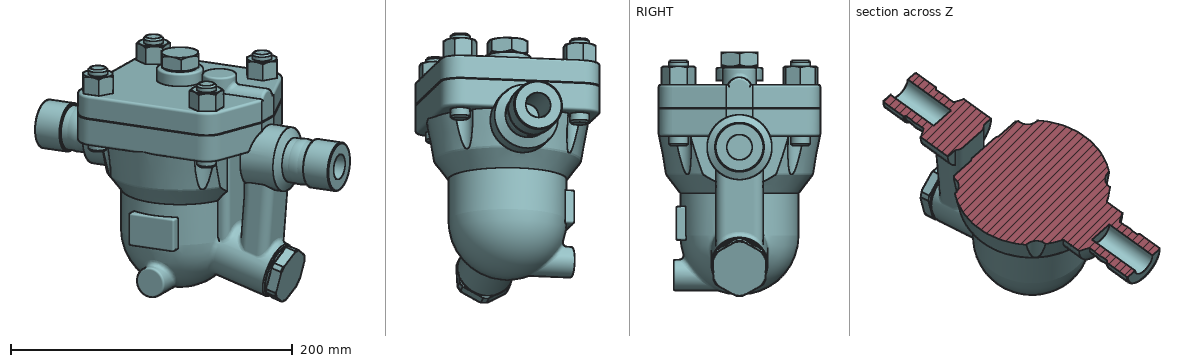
import cadquery as cq
import math


flange_half = 57.5
bolt_offset = 43.25
flange_nose_x = 70.0
flange_nose_half_width = 9.5
flange_bottom = 7.7
joint_z = 27.3
gasket_thickness = 0.6
gasket_inset = 0.3
cover_top = 44.4
flange_edge_fillet = 2.0

stud_dia = 14.0
stud_bottom = 1.0
stud_chamfer = 1.5
nut_flats = 21.0
nut_height = 13.0
stud_projection = 4.4
stud_clearance_dia = 18.0

bowl_radius = 42.0
bowl_center_z = -62.6
throat_z = -32.7
shoulder_z = -19.3
shoulder_radius = 52.2
shoulder_fillet = 3.0
flare_top_radius = 57.5
flare_top_z = flange_bottom + flange_edge_fillet
flare_flat_x = 45.3

inlet_x = -107.0
outlet_x = 127.0
port_bore = 18.0
port_pipe_dia = 35.0
port_pipe_length = 20.5
port_pipe_chamfer = 0.7
port_neck_dia = 32.0
port_bead_dia = 33.0
port_bead_start = 25.4
port_bead_end = 32.6
port_neck_end = 37.6
port_hub_dia = 46.0
port_hub_start = 41.2
outlet_hub_inner_x = 59.6

strainer_angle = 15.0
strainer_dia = 40.0
strainer_length = 81.0
strainer_chamfer = 1.0
strainer_fillet = 4.0
strainer_seat_dia = 36.0
plug_start = 83.0
plug_end = 91.2
plug_flats = 37.0
plug_turned_dia = 40.6
plug_chamfer = 0.6

passage_half_width = 16.7
rib_x = 46.3
rib_corner = 5.0
duct_inner_x = 57.2
duct_kink_z = -26.0
duct_slope = 4.5
duct_outer_x = 81.9
duct_corner = 6.9
passage_fillet = 3.0
passage_split = 50.0

pad_width = 36.0
pad_height = 24.0
pad_center_z = -54.0
pad_front_y = -45.0
pad_edge_fillet = 1.5

drain_dia = 22.0
drain_center_z = -90.7
drain_front_y = -46.8
drain_edge_fillet = 1.5
drain_root_fillet = 3.0
drain_root_limit = 35.0

vent_neck_dia = 24.0
vent_collar_dia = 33.0
vent_collar_bottom = 47.2
vent_collar_top = 56.4
vent_collar_fillet = 1.5
vent_hex_flats = 26.0
vent_hex_bottom = 57.3
vent_hex_top = 67.5

boss_x = 31.4
boss_dia = 24.0
boss_top = 56.4
boss_edge_fillet = 1.5
channel_dia = 18.0
channel_top = 49.6
channel_root_fillet = 3.0

on_surface = 1e-3


def cylinder(dia, bottom, top, x=0, y=0):
    return cq.Workplane("XY", origin=(x, y, bottom)).circle(dia / 2).extrude(top - bottom)


def hexagon(flats, bottom, top, crown, x=0, y=0, turn=0):
    """Hexagonal head with corners along X, its corners turned off at each end named in crown."""
    corner_dia = flats / math.cos(math.pi / 6)
    head = cq.Workplane("XY").polygon(6, corner_dia).extrude(top - bottom)
    blank = cylinder(corner_dia, 0, top - bottom)
    run = (corner_dia - flats) / 2
    blank = blank.faces(crown).chamfer(run * math.tan(math.pi / 6), run)
    return head.intersect(blank).rotate((0, 0, 0), (0, 0, 1), turn).translate((x, y, bottom))


def fillet_root(body, start, axis, dia, reach, radius):
    """Fillet the edges on a cylinder's side whose middles lie within reach along its axis from start."""
    edges = []
    for edge in body.edges().vals():
        offset = edge.positionAt(0.5) - start
        along = offset.dot(axis)
        from_axis = (offset - axis * along).Length
        if abs(from_axis - dia / 2) < on_surface and reach[0] < along < reach[1]:
            edges.append(edge)
    return body.newObject(edges).fillet(radius)


def bolt_circle():
    """Bolt positions going round the flange, each with its quarter turn."""
    corners = [(-1, -1), (1, -1), (1, 1), (-1, 1)]
    return [(sx * bolt_offset, sy * bolt_offset, 90 * i) for i, (sx, sy) in enumerate(corners)]


def flange_outline(bottom):
    """Square outline with rounded corners and a tapered nose on the outlet side."""
    corner = flange_half - bolt_offset
    dx = flange_nose_x - bolt_offset
    dy = flange_nose_half_width - bolt_offset
    tangent = math.atan2(dy, dx) + math.acos(corner / math.hypot(dx, dy))
    middle = (tangent + math.pi / 2) / 2
    tangent_x = bolt_offset + corner * math.cos(tangent)
    tangent_y = bolt_offset + corner * math.sin(tangent)
    middle_x = bolt_offset + corner * math.cos(middle)
    middle_y = bolt_offset + corner * math.sin(middle)
    diagonal = bolt_offset + corner * math.cos(math.pi / 4)
    return (
        cq.Workplane("XY", origin=(0, 0, bottom))
        .moveTo(-bolt_offset, flange_half)
        .lineTo(bolt_offset, flange_half)
        .threePointArc((middle_x, middle_y), (tangent_x, tangent_y))
        .lineTo(flange_nose_x, flange_nose_half_width)
        .lineTo(flange_nose_x, -flange_nose_half_width)
        .lineTo(tangent_x, -tangent_y)
        .threePointArc((middle_x, -middle_y), (bolt_offset, -flange_half))
        .lineTo(-bolt_offset, -flange_half)
        .threePointArc((-diagonal, -diagonal), (-flange_half, -bolt_offset))
        .lineTo(-flange_half, bolt_offset)
        .threePointArc((-diagonal, diagonal), (-bolt_offset, flange_half))
        .close()
    )


def flange(bottom, top):
    return flange_outline(bottom).extrude(top - bottom)


def bowl():
    """Hemispherical bowl flaring up to the flange, relieved for the studs and the outlet."""
    low = bowl_radius * math.cos(math.pi / 4)
    shape = (
        cq.Workplane("XZ")
        .moveTo(0, bowl_center_z - bowl_radius)
        .threePointArc((low, bowl_center_z - low), (bowl_radius, bowl_center_z))
        .lineTo(bowl_radius, throat_z)
        .lineTo(shoulder_radius, shoulder_z)
        .lineTo(flare_top_radius, flare_top_z)
        .lineTo(0, flare_top_z)
        .close()
        .revolve(360, (0, 0, 0), (0, 1, 0))
    )
    shoulder_box = cq.selectors.BoxSelector(
        (-flange_half, -flange_half, shoulder_z - 1), (flange_half, flange_half, shoulder_z + 1)
    )
    shape = shape.edges("%CIRCLE").edges(shoulder_box).fillet(shoulder_fillet)
    for x, y, _ in bolt_circle():
        shape = shape.cut(cylinder(stud_clearance_dia, throat_z, flange_bottom, x, y))
    outlet_side = cq.Workplane("XY").box(
        flange_half, 2 * flange_half, flare_top_z - throat_z, centered=(False, True, False)
    )
    return shape.cut(outlet_side.translate((flare_flat_x, 0, throat_z)))


def port(end_x, inner_x):
    """Stepped pipe end turned about X, reaching from its end face to inner_x."""
    inward = math.copysign(1, inner_x - end_x)
    pipe = port_pipe_dia / 2
    neck = port_neck_dia / 2
    hub = port_hub_dia / 2

    def at(distance, radius):
        return (end_x + inward * distance, radius)

    return (
        cq.Workplane("XZ")
        .moveTo(*at(0, 0))
        .lineTo(*at(0, pipe - port_pipe_chamfer))
        .lineTo(*at(port_pipe_chamfer, pipe))
        .lineTo(*at(port_pipe_length - port_pipe_chamfer, pipe))
        .lineTo(*at(port_pipe_length, pipe - port_pipe_chamfer))
        .lineTo(*at(port_pipe_length, neck))
        .lineTo(*at(port_bead_start, neck))
        .threePointArc(at((port_bead_start + port_bead_end) / 2, port_bead_dia / 2), at(port_bead_end, neck))
        .lineTo(*at(port_neck_end, neck))
        .lineTo(*at(port_hub_start, hub))
        .lineTo(inner_x, hub)
        .lineTo(inner_x, 0)
        .close()
        .revolve(360, (0, 0, 0), (1, 0, 0))
    )


def port_bores():
    """Blind bores, as deep as the stepped part of each port."""
    inlet = cq.Workplane("YZ", origin=(inlet_x, 0, 0)).circle(port_bore / 2).extrude(port_hub_start)
    outlet = cq.Workplane("YZ", origin=(outlet_x, 0, 0)).circle(port_bore / 2).extrude(-port_hub_start)
    return inlet.union(outlet)


def along_strainer(shape):
    """Place a shape built up the Z axis onto the sloping strainer axis."""
    return shape.rotate((0, 0, 0), (0, 1, 0), 90 + strainer_angle).translate((0, 0, bowl_center_z))


def strainer_branch():
    branch = cylinder(strainer_dia, 0, strainer_length).faces(">Z").chamfer(strainer_chamfer)
    return along_strainer(branch)


def strainer_plug():
    """Hexagon cap whose corners are cut by its turned blank."""
    seat = cylinder(strainer_seat_dia, strainer_length, plug_start)
    corner_dia = plug_flats / math.cos(math.pi / 6)
    head = cq.Workplane("XY", origin=(0, 0, plug_start)).polygon(6, corner_dia).extrude(plug_end - plug_start)
    blank = cylinder(plug_turned_dia, plug_start, plug_end).edges(">Z").chamfer(plug_chamfer)
    return along_strainer(seat.union(head.intersect(blank)))


def inlet_rib():
    """Upright passage between the flare and the strainer branch."""
    foot_z = bowl_center_z - rib_x * math.tan(math.radians(strainer_angle))
    rib = cq.Workplane("XY").box(
        rib_x, 2 * passage_half_width, flare_top_z - foot_z, centered=(False, True, False)
    )
    rib = rib.translate((0, 0, foot_z))
    return rib.edges("|Z and >X").fillet(rib_corner)


def outlet_duct():
    """Passage from the strainer branch up to the outlet port, leaning over its lower length."""
    lean = math.tan(math.radians(duct_slope))
    foot_z = bowl_center_z - strainer_length * math.sin(math.radians(strainer_angle))
    foot_inner_x = duct_inner_x + (foot_z - duct_kink_z) * lean
    foot_outer_x = duct_outer_x + foot_z * lean
    return (
        cq.Workplane("XZ", origin=(0, passage_half_width, 0))
        .moveTo(foot_inner_x, foot_z)
        .lineTo(foot_outer_x, foot_z)
        .lineTo(duct_outer_x, 0)
        .lineTo(duct_outer_x, flange_bottom + flange_edge_fillet)
        .lineTo(duct_inner_x, flange_bottom + flange_edge_fillet)
        .lineTo(duct_inner_x, duct_kink_z)
        .close()
        .extrude(2 * passage_half_width)
        .edges("#Y").edges("not #Z")
        .fillet(duct_corner)
    )


def nameplate_pad():
    pad = cq.Workplane("XY").box(pad_width, -pad_front_y, pad_height)
    pad = pad.translate((0, pad_front_y / 2, pad_center_z))
    return pad.edges("|Y").fillet(pad_edge_fillet).faces("<Y").edges().fillet(pad_edge_fillet)


def drain_boss():
    boss = cq.Workplane("XZ", origin=(0, 0, drain_center_z)).circle(drain_dia / 2).extrude(-drain_front_y)
    return boss.faces("<Y").edges().fillet(drain_edge_fillet)


branch = strainer_branch()
branch_slope = math.radians(strainer_angle)
branch_axis = cq.Vector(math.cos(branch_slope), 0, -math.sin(branch_slope))
branch_start = cq.Vector(0, 0, bowl_center_z)
drain_axis = cq.Vector(0, -1, 0)
drain_start = cq.Vector(0, 0, drain_center_z)

housing = bowl().union(inlet_rib()).union(branch)
bowl_reach = (bowl_radius / 2, passage_split)
housing = fillet_root(housing, branch_start, branch_axis, strainer_dia, bowl_reach, strainer_fillet)
housing = housing.union(drain_boss())
drain_reach = (0, drain_root_limit)
housing = fillet_root(housing, drain_start, drain_axis, drain_dia, drain_reach, drain_root_fillet)
housing = housing.union(nameplate_pad())
duct = outlet_duct().union(branch)
duct_reach = (passage_split, strainer_length - strainer_fillet)
duct = fillet_root(duct, branch_start, branch_axis, strainer_dia, duct_reach, passage_fillet)
housing = housing.union(duct)
housing = housing.union(port(inlet_x, 0)).union(port(outlet_x, outlet_hub_inner_x))
lower_flange = flange(flange_bottom, joint_z).faces("<Z").edges().fillet(flange_edge_fillet)
housing = housing.union(lower_flange)
housing = housing.union(strainer_plug())
for stud_x, stud_y, _ in bolt_circle():
    stud_end = cylinder(stud_dia, stud_bottom, flange_bottom, stud_x, stud_y)
    housing = housing.union(stud_end.faces("<Z").chamfer(stud_chamfer))
housing = housing.cut(port_bores())


def nut_and_stud(x, y, turn):
    nut_top = cover_top + nut_height
    nut = hexagon(nut_flats, cover_top, nut_top, ">Z", x, y, turn)
    stud = cylinder(stud_dia, cover_top, nut_top + stud_projection, x, y)
    return nut.union(stud.faces(">Z").chamfer(stud_chamfer))


def channel():
    """Raised half-round passage from the boss to the nose of the flange."""
    center_z = channel_top - channel_dia / 2
    tube = cq.Workplane("YZ", origin=(boss_x, 0, center_z)).circle(channel_dia / 2)
    tube = tube.extrude(flange_nose_x - boss_x)
    return tube.faces(">X").edges().fillet(flange_edge_fillet)


gasket_top = joint_z + gasket_thickness
gasket = flange_outline(joint_z).offset2D(-gasket_inset).extrude(gasket_thickness)

cover = flange(gasket_top, cover_top).faces(">Z").edges().fillet(flange_edge_fillet)
boss = cylinder(boss_dia, cover_top, boss_top, boss_x).faces(">Z").edges().fillet(boss_edge_fillet)
cover = cover.union(channel()).union(boss)
boss_start = cq.Vector(boss_x, 0, cover_top)
boss_reach = (on_surface, channel_top - cover_top + on_surface)
cover = fillet_root(cover, boss_start, cq.Vector(0, 0, 1), boss_dia, boss_reach, channel_root_fillet)
for stud_x, stud_y, nut_turn in bolt_circle():
    cover = cover.union(nut_and_stud(stud_x, stud_y, nut_turn))

trap = housing.union(gasket).union(cover)


def make_vent_plug():
    """Hexagon head on a short neck and a round collar."""
    neck = cylinder(vent_neck_dia, vent_collar_top, vent_hex_bottom)
    collar = cylinder(vent_collar_dia, vent_collar_bottom, vent_collar_top)
    collar = collar.faces(">Z").edges().fillet(vent_collar_fillet)
    head = hexagon(vent_hex_flats, vent_hex_bottom, vent_hex_top, "<Z or >Z")
    return neck.union(collar).union(head)


vent_plug = make_vent_plug()

result = cq.Compound.makeCompound([trap.val(), vent_plug.val()])